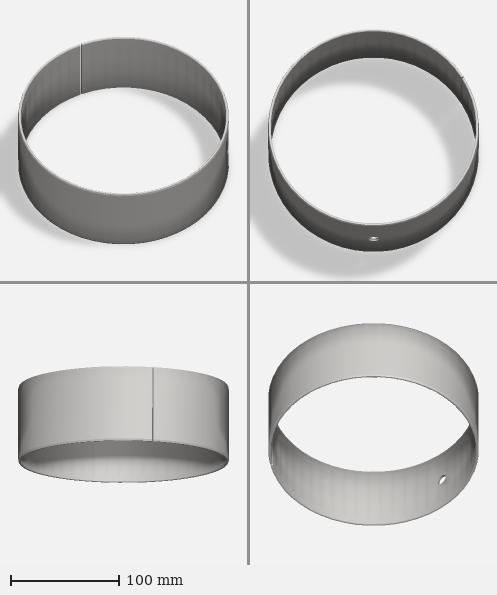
import cadquery as cq

outer_radius = 97.5
wall = 2.5
height = 70.0

bevel_height = 1.8
bevel_width = 0.5
inner_bevel = 0.5

slit_width = 1.4

hole_diameter = 10.0
hole_angle = 59.0

inner_radius = outer_radius - wall
half_height = height / 2


def make_band():
    """Revolve the wall section, bevelled at all four corners, about Z."""
    shoulder = half_height - bevel_height
    inner_shoulder = half_height - inner_bevel
    rim_inner = inner_radius + inner_bevel
    rim_outer = outer_radius - bevel_width
    section = [
        (inner_radius, -inner_shoulder),
        (rim_inner, -half_height),
        (rim_outer, -half_height),
        (outer_radius, -shoulder),
        (outer_radius, shoulder),
        (rim_outer, half_height),
        (rim_inner, half_height),
        (inner_radius, inner_shoulder),
    ]
    return cq.Workplane("XZ").polyline(section).close().revolve(360, (0, 0), (0, 1))


def make_slit():
    """Block that opens the band along its full height on the -X side."""
    return cq.Workplane("XY").box(
        outer_radius, slit_width, height, centered=(False, False, True)
    ).translate((-outer_radius, 0, 0))


def make_hole():
    """Cylinder from the axis outward through one side of the wall."""
    drill = cq.Workplane("YZ").circle(hole_diameter / 2).extrude(outer_radius)
    return drill.rotate((0, 0, 0), (0, 0, 1), hole_angle)


result = make_band().cut(make_slit()).cut(make_hole())